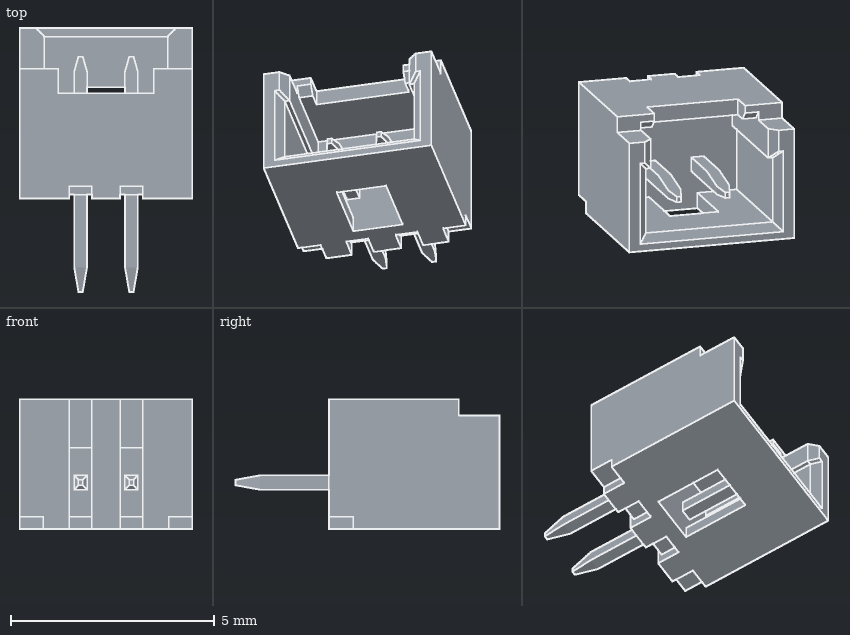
import cadquery as cq

PIN_COUNT = 2
PITCH = 1.25

HOUSING_WIDTH = 4.25
HOUSING_DEPTH = 4.2
HOUSING_HEIGHT = 3.2
ROOF_THICKNESS = 0.4
ROOF_SETBACK = 1.0
ROOF_NOTCH_WIDTH = 2.34
ROOF_NOTCH_DEPTH = 1.6
FLOOR_THICKNESS = 0.4

BACK_WALL_THICKNESS = 1.0
SIDE_WALL_THICKNESS = 0.61
LEDGE_OVERHANG = 0.12
LEDGE_BOTTOM_Z = 2.05
LEAD_IN = 0.21
WINDOW_WIDTH = 1.25
WINDOW_SETBACK = 1.46

GROOVE_WIDTH = 0.555
GROOVE_DEPTH = 0.3
PAD_SETBACK = 0.1
PAD_TOP_Z = 2.0
FOOT_HEIGHT = 0.3
FOOT_DEPTH = 0.6
CORNER_NOTCH_WIDTH = 0.575

PIN_WIDTH = 0.32
PIN_HEIGHT = 0.36
PIN_Z = 1.145
PIN_PROTRUSION = 2.3
SOLDER_TIP_LENGTH = 0.61
TIP_WIDTH = 0.11
TIP_HEIGHT = 0.14
MATING_TIP_SETBACK = 0.71
MATING_TIP_LENGTH = 0.37
MATING_SLOPE_LENGTH = 1.2

SOLDER_FACE_Y = 0.0
MATING_FACE_Y = HOUSING_DEPTH
ROOF_EDGE_Y = MATING_FACE_Y - ROOF_SETBACK
CAVITY_BACK_Y = BACK_WALL_THICKNESS
CAVITY_TOP_Z = HOUSING_HEIGHT - ROOF_THICKNESS
UPPER_CAVITY_WIDTH = HOUSING_WIDTH - 2 * SIDE_WALL_THICKNESS
LOWER_CAVITY_WIDTH = UPPER_CAVITY_WIDTH + 2 * LEDGE_OVERHANG
SOLDER_END_Y = SOLDER_FACE_Y - PIN_PROTRUSION
MATING_END_Y = MATING_FACE_Y - MATING_TIP_SETBACK
PIN_POSITIONS = [(i - (PIN_COUNT - 1) / 2) * PITCH for i in range(PIN_COUNT)]


def block(width, y_range, z_range, x_center=0.0):
    """Box centred on x_center that spans the given Y and Z ranges."""
    y_min, y_max = y_range
    z_min, z_max = z_range
    corner = (x_center - width / 2, y_min, z_min)
    return cq.Workplane("XY").box(width, y_max - y_min, z_max - z_min, centered=False).translate(corner)


def flare(width, z_range, y_inner, y_outer):
    """45-degree lead-in that widens a rectangular opening on all sides towards +Y."""
    z_min, z_max = z_range
    growth = 2 * (y_outer - y_inner)
    height = z_max - z_min
    return (
        cq.Workplane("XZ", origin=(0, y_inner, (z_min + z_max) / 2))
        .rect(width, height)
        .workplane(offset=y_inner - y_outer)
        .rect(width + growth, height + growth)
        .loft(ruled=True)
    )


def housing_shell():
    body = block(HOUSING_WIDTH, (SOLDER_FACE_Y, MATING_FACE_Y), (0, HOUSING_HEIGHT))
    roof_z = (CAVITY_TOP_Z, HOUSING_HEIGHT)
    body = body.cut(block(HOUSING_WIDTH, (ROOF_EDGE_Y, MATING_FACE_Y), roof_z))
    notch_y = (MATING_FACE_Y - ROOF_NOTCH_DEPTH, MATING_FACE_Y)
    return body.cut(block(ROOF_NOTCH_WIDTH, notch_y, roof_z))


def roof_lead_in():
    """Wedge that bevels the lower front edge of the roof across the cavity."""
    return (
        cq.Workplane("YZ", origin=(-UPPER_CAVITY_WIDTH / 2, 0, 0))
        .moveTo(ROOF_EDGE_Y - LEAD_IN, CAVITY_TOP_Z)
        .lineTo(ROOF_EDGE_Y, CAVITY_TOP_Z)
        .lineTo(ROOF_EDGE_Y, CAVITY_TOP_Z + LEAD_IN)
        .close()
        .extrude(UPPER_CAVITY_WIDTH)
    )


def cavity():
    cavity_y = (CAVITY_BACK_Y, MATING_FACE_Y)
    upper_z = (FLOOR_THICKNESS, CAVITY_TOP_Z)
    lower_z = (FLOOR_THICKNESS, LEDGE_BOTTOM_Z)
    lead_in_y = MATING_FACE_Y - LEAD_IN
    space = block(UPPER_CAVITY_WIDTH, cavity_y, upper_z)
    space = space.union(block(LOWER_CAVITY_WIDTH, cavity_y, lower_z))
    space = space.union(flare(UPPER_CAVITY_WIDTH, upper_z, lead_in_y, MATING_FACE_Y))
    space = space.union(flare(LOWER_CAVITY_WIDTH, lower_z, lead_in_y, MATING_FACE_Y))
    return space.union(roof_lead_in())


def floor_window():
    window_y = (CAVITY_BACK_Y, MATING_FACE_Y - WINDOW_SETBACK)
    return block(WINDOW_WIDTH, window_y, (0, FLOOR_THICKNESS))


def pin_relief(x):
    """Groove around one pin: deep above its pad, shallow at the pad, deepest under it."""
    above_pad = block(GROOVE_WIDTH, (SOLDER_FACE_Y, GROOVE_DEPTH), (PAD_TOP_Z, HOUSING_HEIGHT), x)
    at_pad = block(GROOVE_WIDTH, (SOLDER_FACE_Y, PAD_SETBACK), (FOOT_HEIGHT, PAD_TOP_Z), x)
    under_pad = block(GROOVE_WIDTH, (SOLDER_FACE_Y, FOOT_DEPTH), (0, FOOT_HEIGHT), x)
    return above_pad.union(at_pad).union(under_pad)


def corner_notch(side):
    x_center = side * (HOUSING_WIDTH - CORNER_NOTCH_WIDTH) / 2
    return block(CORNER_NOTCH_WIDTH, (SOLDER_FACE_Y, FOOT_DEPTH), (0, FOOT_HEIGHT), x_center)


def pin_side_profile(x):
    """Side shape of a pin: tapered from both sides at the solder tip, sloped on top at the mating tip."""
    solder_shoulder_y = SOLDER_END_Y + SOLDER_TIP_LENGTH
    half_height = PIN_HEIGHT / 2
    half_tip = TIP_HEIGHT / 2
    return (
        cq.Workplane("YZ", origin=(x, 0, PIN_Z))
        .polyline([
            (SOLDER_END_Y, -half_tip),
            (solder_shoulder_y, -half_height),
            (MATING_END_Y, -half_height),
            (MATING_END_Y, TIP_HEIGHT - half_height),
            (MATING_END_Y - MATING_SLOPE_LENGTH, half_height),
            (solder_shoulder_y, half_height),
            (SOLDER_END_Y, half_tip),
        ])
        .close()
        .extrude(PIN_WIDTH / 2, both=True)
    )


def pin_plan_profile(x):
    """Plan shape of a pin: a bar tapered from both sides at both ends."""
    solder_shoulder_y = SOLDER_END_Y + SOLDER_TIP_LENGTH
    mating_shoulder_y = MATING_END_Y - MATING_TIP_LENGTH
    half_width = PIN_WIDTH / 2
    half_tip = TIP_WIDTH / 2
    return (
        cq.Workplane("XY", origin=(x, 0, PIN_Z))
        .polyline([
            (-half_tip, SOLDER_END_Y),
            (half_tip, SOLDER_END_Y),
            (half_width, solder_shoulder_y),
            (half_width, mating_shoulder_y),
            (half_tip, MATING_END_Y),
            (-half_tip, MATING_END_Y),
            (-half_width, mating_shoulder_y),
            (-half_width, solder_shoulder_y),
        ])
        .close()
        .extrude(PIN_HEIGHT / 2, both=True)
    )


def pin(x):
    """Rectangular-section pin: the common volume of its side and plan shapes."""
    return pin_side_profile(x).intersect(pin_plan_profile(x))


result = housing_shell().cut(cavity()).cut(floor_window())
for side in (-1, 1):
    result = result.cut(corner_notch(side))
for pin_x in PIN_POSITIONS:
    result = result.cut(pin_relief(pin_x)).union(pin(pin_x))